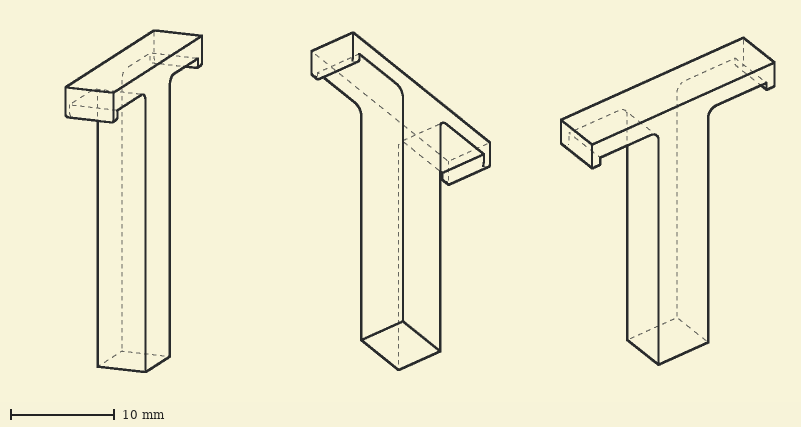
import cadquery as cq

width = 5.0
bar_length = 22.0
total_height = 30.0

bar_thickness = 2.0
stem_depth = 6.0
stem_fillet = 1.0
lip_depth = 1.0
lip_drop = 1.08
lip_edge_radius = 0.4

bar_bottom = total_height - bar_thickness


def block(depth, height, center_y, bottom_z):
    """Full-width block, centred on X, standing on bottom_z."""
    return (
        cq.Workplane("XY", origin=(0, center_y, bottom_z))
        .rect(width, depth)
        .extrude(height)
    )


def end_lip(side):
    """Lip under one end of the bar, with its lower edges rounded."""
    center_y = side * (bar_length - lip_depth) / 2
    lip = block(lip_depth, lip_drop, center_y, bar_bottom - lip_drop)
    return lip.faces("<Z").edges().fillet(lip_edge_radius)


bar = block(bar_length, bar_thickness, 0, bar_bottom)
stem = block(stem_depth, bar_bottom, 0, 0)
inner_corners = cq.selectors.BoxSelector(
    (-width, -stem_depth, bar_bottom - stem_fillet),
    (width, stem_depth, bar_bottom + stem_fillet),
)
result = bar.union(stem).edges("|X").edges(inner_corners).fillet(stem_fillet)

for side in (-1, 1):
    result = result.union(end_lip(side))